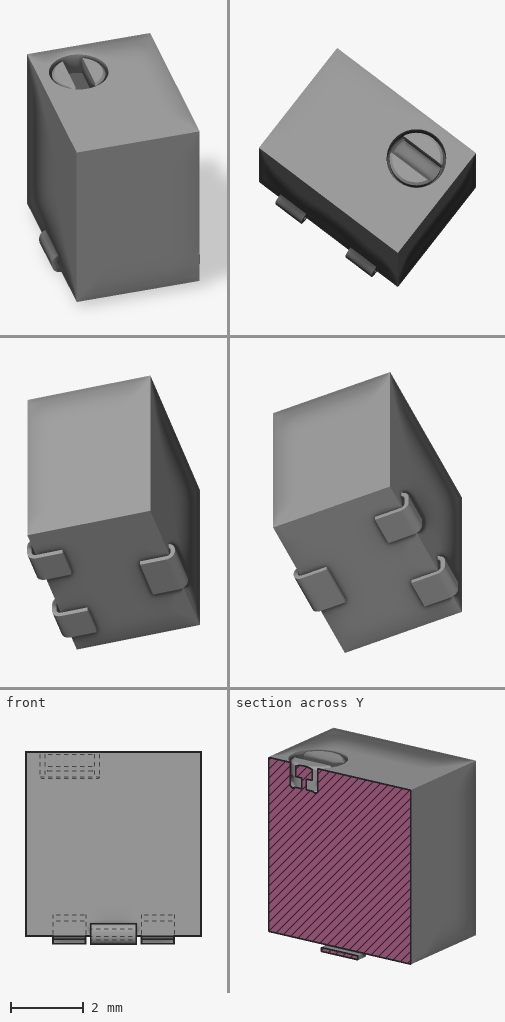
import cadquery as cq
import math

body_length = 4.83
body_width = 3.53
body_bottom = 0.23
total_height = 5.3

lead_thickness = 0.125
lead_outer_radius = 0.255
lead_embed = 0.105

front_lead_length = 0.995
front_lead_width = 1.26
front_lead_projection = 0.18
front_lead_shoulder = 0.325
front_lead_bend = 90.0

rear_lead_length = 1.01
rear_lead_width = 0.9
rear_lead_projection = 0.22
rear_lead_bottom = 0.015
rear_lead_shoulder = 0.51
rear_lead_bend = 55.0
rear_lead_offset = 1.22

screw_x = -body_length / 4
screw_y = -0.64
hole_radius = 0.82
head_radius = 0.735
head_chamfer = 0.07
head_depth = 0.39
neck_radius = 0.685
slot_width = 0.565
slot_depth = 0.52

gap_depth = 0.69
groove_radius = (head_radius + hole_radius) / 2
groove_depth = hole_radius - groove_radius


def make_body():
    height = total_height - body_bottom
    return (
        cq.Workplane("XY")
        .box(body_length, body_width, height, centered=(True, True, False))
        .translate((0, 0, body_bottom))
    )


def make_lead(length, width, projection, shoulder, bend):
    """C-shaped strip centred on X = 0, with its outer face on Y = 0 and its foot on Z = 0.

    The upper bend starts at height `shoulder` and turns the strip by `bend` degrees.
    """
    radius = lead_outer_radius
    inner_radius = radius - lead_thickness
    bend_angle = math.radians(bend)

    def around_lower_bend(arc_radius, angle):
        return (radius - arc_radius * math.cos(angle), radius - arc_radius * math.sin(angle))

    def around_upper_bend(arc_radius, angle):
        return (radius - arc_radius * math.cos(angle), shoulder + arc_radius * math.sin(angle))

    arm_start_y = around_upper_bend(radius, bend_angle)[0]
    arm_length = (projection + lead_embed - arm_start_y) / math.sin(bend_angle)

    def arm_end(arc_radius):
        y, z = around_upper_bend(arc_radius, bend_angle)
        return (y + arm_length * math.sin(bend_angle), z + arm_length * math.cos(bend_angle))

    middle = math.radians(45)
    profile = (
        cq.Workplane("YZ")
        .moveTo(length, 0)
        .lineTo(radius, 0)
        .threePointArc(around_lower_bend(radius, middle), (0, radius))
        .lineTo(0, shoulder)
        .threePointArc(around_upper_bend(radius, bend_angle / 2), around_upper_bend(radius, bend_angle))
        .lineTo(*arm_end(radius))
        .lineTo(*arm_end(inner_radius))
        .lineTo(*around_upper_bend(inner_radius, bend_angle))
        .threePointArc(around_upper_bend(inner_radius, bend_angle / 2), (lead_thickness, shoulder))
        .lineTo(lead_thickness, radius)
        .threePointArc(around_lower_bend(inner_radius, middle), (radius, lead_thickness))
        .lineTo(length, lead_thickness)
        .close()
    )
    return profile.extrude(width / 2, both=True)


def make_front_lead():
    lead = make_lead(
        front_lead_length, front_lead_width, front_lead_projection, front_lead_shoulder, front_lead_bend
    )
    return lead.translate((0, -body_width / 2 - front_lead_projection, 0))


def make_rear_lead(center_x):
    lead = make_lead(
        rear_lead_length, rear_lead_width, rear_lead_projection, rear_lead_shoulder, rear_lead_bend
    )
    outer_y = body_width / 2 + rear_lead_projection
    return lead.mirror("XZ").translate((center_x, outer_y, rear_lead_bottom))


def make_screw_gap():
    """Ring-shaped gap between the hole wall and the screw, undercut below the screw head."""
    profile = [
        (head_radius - head_chamfer, 0),
        (head_radius, -head_chamfer),
        (head_radius, -head_depth),
        (neck_radius, -head_depth),
        (neck_radius, -gap_depth),
        (head_radius, -gap_depth),
        (groove_radius, -gap_depth - groove_depth),
        (hole_radius, -gap_depth),
        (hole_radius, 0),
    ]
    gap = cq.Workplane("XZ").polyline(profile).close().revolve(360, (0, 0), (0, 1))
    return gap.translate((screw_x, screw_y, total_height))


def make_screw_slot():
    """Screwdriver slot across the screw, running along X."""
    slot = cq.Workplane("XY").rect(2 * head_radius, slot_width).extrude(-slot_depth)
    screw = cq.Workplane("XY").circle(head_radius).extrude(-slot_depth)
    return slot.intersect(screw).translate((screw_x, screw_y, total_height))


result = make_body().cut(make_screw_gap()).cut(make_screw_slot())
result = result.union(make_front_lead())
for rear_x in (-rear_lead_offset, rear_lead_offset):
    result = result.union(make_rear_lead(rear_x))